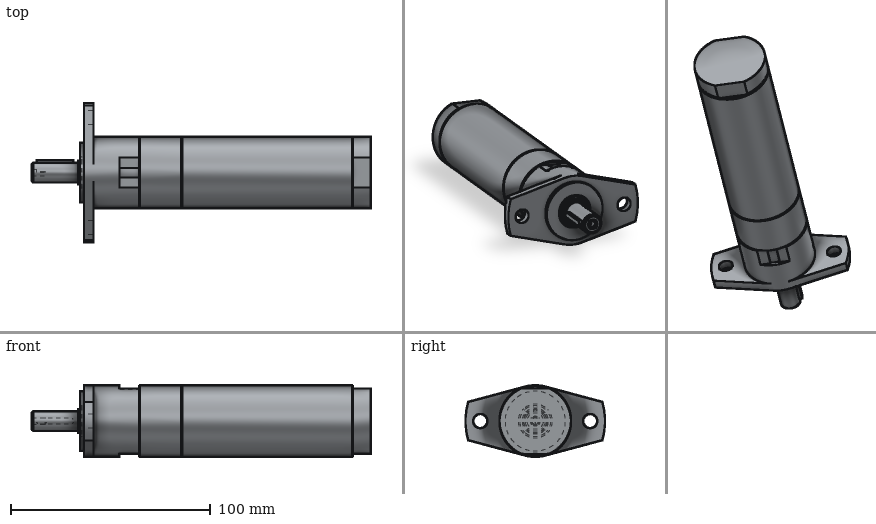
import cadquery as cq
import math


lip_x = 23.0
boss_x = 24.1
flange_x = 26.1
flange_thickness = 5.0
neck_x = 44.0
body_x = 53.8
seam_x = 74.8
cap_x = 160.7
length = 169.7

body_radius = 36.0 / 2
boss_radius = 30.0 / 2
shaft_radius = 10.0 / 2
collar_radius = 11.4 / 2
lip_radius = 11.9 / 2
lip_width = 0.3
body_chamfer = 0.5
seam_width = 0.5
seam_depth = 0.2
tip_radius = 8.1 / 2
tip_chamfer_length = 0.8

recess_radius = 15.5 / 2
recess_mouth_radius = 17.0 / 2
recess_depth = 1.0
skirt_radius = 13.0 / 2
skirt_height = 0.5

countersink_radius = 5.0 / 2
bore_radius = 4.0 / 2
bore_depth = 1.0
drill_radius = 3.2 / 2
drill_depth = 6.8
drill_point_angle = 60.0

flange_width = 70.0
flange_side_angle = 15.0
hole_diameter = 7.0
hole_offset = 27.5

key_x = 2.4
key_length = 18.7
key_width = 3.0
key_top = 6.3

flat_height = 16.38
slot_width = 4.8
slot_floor_radius = 32.0 / 2


def cylinder(x_start, x_end, radius):
    """Solid cylinder along the X axis."""
    return cq.Workplane("YZ").workplane(offset=x_start).circle(radius).extrude(x_end - x_start)


def turned(points):
    """Solid of revolution about X from (x, radius) points, closed along the axis."""
    closed = [(points[0][0], 0)] + points + [(points[-1][0], 0)]
    return cq.Workplane("XY").polyline(closed).close().revolve(360, (0, 0, 0), (1, 0, 0))


def make_shaft():
    """Output shaft with a chamfered tip and a drilled centre hole."""
    shaft = turned([
        (0, tip_radius),
        (tip_chamfer_length, shaft_radius),
        (flange_x, shaft_radius),
    ])
    point_length = drill_radius / math.tan(math.radians(drill_point_angle))
    centre_hole = (
        cq.Workplane("XY")
        .lineTo(0, countersink_radius)
        .lineTo(countersink_radius - bore_radius, bore_radius)
        .lineTo(bore_depth, bore_radius)
        .lineTo(bore_depth, drill_radius)
        .lineTo(drill_depth, drill_radius)
        .lineTo(drill_depth + point_length, 0)
        .close()
        .revolve(360, (0, 0, 0), (1, 0, 0))
    )
    return shaft.cut(centre_hole)


def make_key():
    """Round-ended key standing out of the +Y side of the shaft."""
    return (
        cq.Workplane("XZ")
        .center(key_x + key_length / 2, 0)
        .slot2D(key_length, key_width)
        .extrude(-key_top)
    )


def make_boss():
    """Centring boss with a recess around the lipped seal collar."""
    boss = cylinder(boss_x, flange_x, boss_radius)
    recess_floor = boss_x + recess_depth
    recess = turned([
        (boss_x, recess_mouth_radius),
        (boss_x + recess_mouth_radius - recess_radius, recess_radius),
        (recess_floor, recess_radius),
    ])
    collar = cylinder(lip_x, recess_floor, collar_radius)
    skirt = cylinder(recess_floor - skirt_height, recess_floor, skirt_radius)
    lip = cylinder(lip_x, lip_x + lip_width, lip_radius)
    return boss.cut(recess).union(skirt).union(collar).union(lip)


def make_flange():
    """Two-hole flange: long sides tangent to the body, ends on an arc about the axis.

    The body cylinder passing through it rounds its top and bottom.
    """
    angle = math.radians(flange_side_angle)
    end_radius = flange_width / 2
    tangent_y = body_radius * math.sin(angle)
    tangent_z = body_radius * math.cos(angle)
    corner_angle = math.acos(body_radius / end_radius)
    corner_y = end_radius * math.sin(angle + corner_angle)
    corner_z = end_radius * math.cos(angle + corner_angle)
    plate = (
        cq.Workplane("YZ")
        .workplane(offset=flange_x)
        .moveTo(-tangent_y, tangent_z)
        .lineTo(tangent_y, tangent_z)
        .lineTo(corner_y, corner_z)
        .threePointArc((end_radius, 0), (corner_y, -corner_z))
        .lineTo(tangent_y, -tangent_z)
        .lineTo(-tangent_y, -tangent_z)
        .lineTo(-corner_y, -corner_z)
        .threePointArc((-end_radius, 0), (-corner_y, corner_z))
        .close()
        .extrude(flange_thickness)
    )
    holes = (
        cq.Workplane("YZ")
        .workplane(offset=flange_x)
        .pushPoints([(-hole_offset, 0), (hole_offset, 0)])
        .circle(hole_diameter / 2)
        .extrude(flange_thickness)
    )
    return plate.cut(holes)


def make_flatted(x_start, x_end):
    """Body-sized cylinder with flats on its top and bottom."""
    size = x_end - x_start
    slab = cq.Workplane("XY").box(size, 2 * body_radius, 2 * flat_height)
    return cylinder(x_start, x_end, body_radius).intersect(slab.translate((x_start + size / 2, 0, 0)))


def make_neck():
    """Flatted neck with a shallow round-floored slot along the middle of each flat."""
    size = body_x - neck_x
    slots = cq.Workplane("XY").box(size, slot_width, 2 * body_radius).translate((neck_x + size / 2, 0, 0))
    slots = slots.cut(cylinder(neck_x, body_x, slot_floor_radius))
    return make_flatted(neck_x, body_x).cut(slots)


def make_body():
    """Main cylinder with chamfered ends and a narrow joint groove."""
    groove_radius = body_radius - seam_depth
    return turned([
        (body_x, body_radius - body_chamfer),
        (body_x + body_chamfer, body_radius),
        (seam_x, body_radius),
        (seam_x, groove_radius),
        (seam_x + seam_width, groove_radius),
        (seam_x + seam_width, body_radius),
        (cap_x - body_chamfer, body_radius),
        (cap_x, body_radius - body_chamfer),
    ])


result = (
    cylinder(flange_x, neck_x, body_radius)
    .union(make_flange())
    .union(make_boss())
    .union(make_neck())
    .union(make_body())
    .union(make_flatted(cap_x, length))
    .union(make_shaft())
    .union(make_key())
)